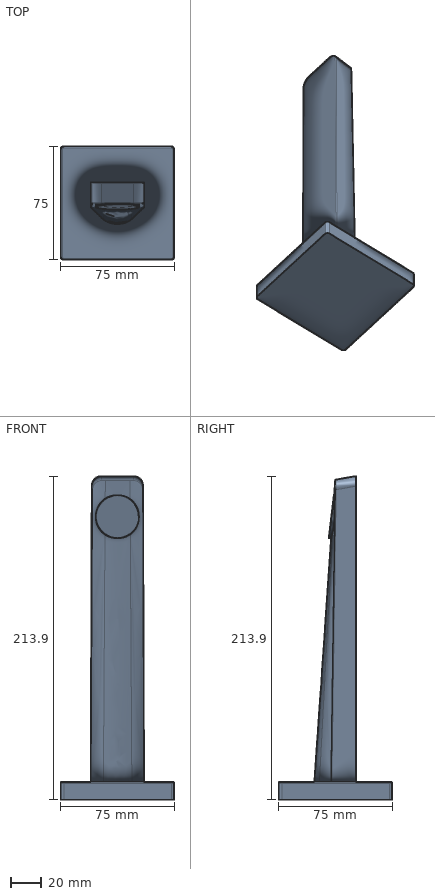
import cadquery as cq
import math

PLATE_SIDE = 75.0
PLATE_HEIGHT = 12.0
PLATE_CORNER_RADIUS = 2.0
PLATE_TOP_FILLET = 1.0

TOTAL_HEIGHT = 213.89
BACK_Y = 13.7
FOOT_HALF_WIDTH = 17.7
FOOT_SHOULDER_Y = -2.7
FOOT_BULGE_HALF_WIDTH = 9.4
FOOT_BULGE_START_Y = -10.7
FOOT_BULGE_APEX_Y = -14.0
HEAD_HALF_WIDTH = 17.0
HEAD_FRONT_Y = 0.0
HEAD_BULGE_HALF_WIDTH = 8.1
LOFT_TOP_Z = TOTAL_HEIGHT + 1.0

TOP_SLOPE_DEG = 10.0
HEAD_CORNER_RADIUS = 6.5
EDGE_FILLET = 0.5

BUTTON_DIAMETER = 28.6
BUTTON_CENTRE_Y = -2.75
BUTTON_CENTRE_Z = 187.2
BUTTON_TILT_DEG = 6.8
BUTTON_DEPTH = 5.0
BUTTON_RIM_FILLET = 0.3


def base_plate():
    plate = cq.Workplane("XY").box(PLATE_SIDE, PLATE_SIDE, PLATE_HEIGHT, centered=(True, True, False))
    plate = plate.edges("|Z").fillet(PLATE_CORNER_RADIUS)
    return plate.faces(">Z").edges().fillet(PLATE_TOP_FILLET)


def foot_outline():
    """Column section on the plate: square back, slanted shoulders and an arc at the front."""
    return (
        cq.Workplane("XY", origin=(0, 0, PLATE_HEIGHT))
        .moveTo(-FOOT_HALF_WIDTH, BACK_Y)
        .lineTo(-FOOT_HALF_WIDTH, FOOT_SHOULDER_Y)
        .lineTo(-FOOT_BULGE_HALF_WIDTH, FOOT_BULGE_START_Y)
        .threePointArc((0, FOOT_BULGE_APEX_Y), (FOOT_BULGE_HALF_WIDTH, FOOT_BULGE_START_Y))
        .lineTo(FOOT_HALF_WIDTH, FOOT_SHOULDER_Y)
        .lineTo(FOOT_HALF_WIDTH, BACK_Y)
        .close()
        .val()
    )


def head_outline():
    """Column section at the top: the bulge has faded into a flat front."""
    return (
        cq.Workplane("XY", origin=(0, 0, LOFT_TOP_Z))
        .moveTo(-HEAD_HALF_WIDTH, BACK_Y)
        .lineTo(-HEAD_HALF_WIDTH, HEAD_FRONT_Y)
        .lineTo(-HEAD_BULGE_HALF_WIDTH, HEAD_FRONT_Y)
        .lineTo(HEAD_BULGE_HALF_WIDTH, HEAD_FRONT_Y)
        .lineTo(HEAD_HALF_WIDTH, HEAD_FRONT_Y)
        .lineTo(HEAD_HALF_WIDTH, BACK_Y)
        .close()
        .val()
    )


def cut_sloped_top(body):
    """Cut the top on a slope falling to the front; its back edge allows for the height lost to the fillet."""
    slope = math.radians(TOP_SLOPE_DEG)
    height_lost = EDGE_FILLET * (math.tan(slope) + 1 / math.cos(slope) - 1)
    sloped_top = cq.Plane(
        origin=(0, BACK_Y, TOTAL_HEIGHT + height_lost),
        xDir=(1, 0, 0),
        normal=(0, -math.sin(slope), math.cos(slope)),
    )
    cutter = cq.Workplane(sloped_top).rect(PLATE_SIDE, PLATE_SIDE).extrude(PLATE_SIDE)
    return body.cut(cutter)


def column():
    loft = cq.Solid.makeLoft([foot_outline(), head_outline()], True)
    body = cut_sloped_top(cq.Workplane(loft))
    body = body.faces(">Z").edges("<X or >X").fillet(HEAD_CORNER_RADIUS)
    body = body.faces(">Y").edges("not <Z").fillet(EDGE_FILLET)
    mid_shoulder = (
        (FOOT_HALF_WIDTH + HEAD_HALF_WIDTH) / 2,
        (FOOT_SHOULDER_Y + HEAD_FRONT_Y) / 2,
        (PLATE_HEIGHT + LOFT_TOP_Z) / 2,
    )
    return body.edges(cq.selectors.NearestToPointSelector(mid_shoulder)).fillet(EDGE_FILLET)


def button():
    tilt = math.radians(BUTTON_TILT_DEG)
    face = cq.Plane(
        origin=(0, BUTTON_CENTRE_Y, BUTTON_CENTRE_Z),
        xDir=(1, 0, 0),
        normal=(0, -math.cos(tilt), math.sin(tilt)),
    )
    disc = cq.Workplane(face).circle(BUTTON_DIAMETER / 2).extrude(-BUTTON_DEPTH)
    return disc.edges("<Y").fillet(BUTTON_RIM_FILLET)


result = base_plate().union(column()).union(button())